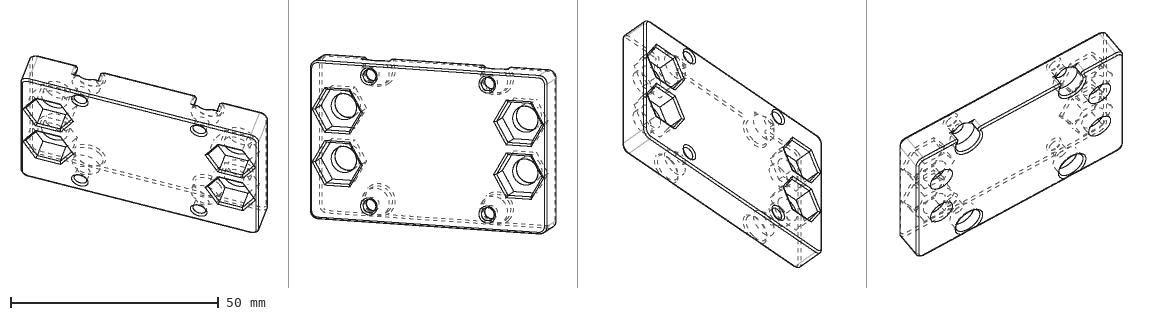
import math

import cadquery as cq

LENGTH = 60.0
THICKNESS = 8.0
HEIGHT = 39.0
CORNER_RADIUS = 2.0
CHAMFER = 0.5

FRONT_Y = -THICKNESS / 2
BACK_Y = THICKNESS / 2
TOP_Z = HEIGHT / 2

NUT_ACROSS_FLATS = 10.0
NUT_POCKET_DEPTH = 5.0
BOLT_DIAMETER = 6.4
NUT_X = LENGTH / 2 - 7.0
UPPER_NUT_Z = TOP_Z - 12.0
NUT_PITCH = 13.0
LOWER_NUT_Z = UPPER_NUT_Z - NUT_PITCH

SCREW_DIAMETER = 3.2
SCREW_X = 15.0
UPPER_SCREW_Z = TOP_Z - 3.0
SCREW_PITCH = 32.0
LOWER_SCREW_Z = UPPER_SCREW_Z - SCREW_PITCH
HEAD_DIAMETER = 7.0
HEAD_DEPTH = 3.0
HEAD_FLOOR_Y = BACK_Y - HEAD_DEPTH
BREAKOUT_RADIUS = 0.8


def face_plane(x, y, z):
    """Workplane at a point, facing +Y."""
    return cq.Workplane(cq.Plane(origin=(x, y, z), xDir=(1, 0, 0), normal=(0, 1, 0)))


def cylinder(x, y, z, diameter, length):
    return face_plane(x, y, z).circle(diameter / 2).extrude(length)


def cone(x, y, z, start_diameter, end_diameter, length):
    start = face_plane(x, y, z).circle(start_diameter / 2)
    return start.workplane(offset=length).circle(end_diameter / 2).loft()


def hexagon(across_flats):
    """Hexagon with two of its corners on the local X axis."""
    sides = 6
    corner_radius = across_flats / math.sqrt(3)
    return cq.Sketch().regularPolygon(corner_radius, sides, angle=180 / sides)


def head_recess(x, z):
    return cylinder(x, HEAD_FLOOR_Y, z, HEAD_DIAMETER, HEAD_DEPTH)


def plate_with_upper_recesses():
    """Rounded plate, open at the top into two head recesses, with chamfered face outlines."""
    body = cq.Workplane("XY").box(LENGTH, THICKNESS, HEIGHT)
    body = body.edges("|Y").fillet(CORNER_RADIUS)
    for x in (-SCREW_X, SCREW_X):
        body = body.cut(head_recess(x, UPPER_SCREW_Z))
        around_recess = cq.selectors.BoxSelector(
            (x - HEAD_DIAMETER, HEAD_FLOOR_Y, UPPER_SCREW_Z),
            (x + HEAD_DIAMETER, BACK_Y, TOP_Z + CHAMFER),
        )
        body = body.edges("|Y").edges(around_recess).fillet(BREAKOUT_RADIUS)
    return body.faces("<Y or >Y").chamfer(CHAMFER)


def nut_pocket(x, z):
    """Hexagonal pocket with a chamfered mouth, and its bolt hole."""
    start = face_plane(x, FRONT_Y, z)
    pocket = start.placeSketch(hexagon(NUT_ACROSS_FLATS)).extrude(NUT_POCKET_DEPTH)
    mouth_end = hexagon(NUT_ACROSS_FLATS).moved(cq.Location(cq.Vector(0, 0, CHAMFER)))
    mouth = start.placeSketch(hexagon(NUT_ACROSS_FLATS + 2 * CHAMFER), mouth_end).loft()
    hole = cylinder(x, FRONT_Y, z, BOLT_DIAMETER, THICKNESS)
    return pocket.union(mouth).union(hole)


def screw_hole(x, z):
    """Through hole, chamfered at the front and countersunk at the floor of the head recess."""
    sink_depth = (HEAD_DIAMETER - SCREW_DIAMETER) / 2
    hole = cylinder(x, FRONT_Y, z, SCREW_DIAMETER, THICKNESS - HEAD_DEPTH)
    mouth = cone(x, FRONT_Y, z, SCREW_DIAMETER + 2 * CHAMFER, SCREW_DIAMETER, CHAMFER)
    sink = cone(x, HEAD_FLOOR_Y - sink_depth, z, SCREW_DIAMETER, HEAD_DIAMETER, sink_depth)
    return hole.union(mouth).union(sink)


def lower_recess(x):
    """Closed head recess with a chamfered rim at the back face."""
    rim_y = BACK_Y - CHAMFER
    rim = cone(x, rim_y, LOWER_SCREW_Z, HEAD_DIAMETER, HEAD_DIAMETER + 2 * CHAMFER, CHAMFER)
    return head_recess(x, LOWER_SCREW_Z).union(rim)


part = plate_with_upper_recesses()
for side in (-1, 1):
    for nut_z in (UPPER_NUT_Z, LOWER_NUT_Z):
        part = part.cut(nut_pocket(side * NUT_X, nut_z))
    part = part.cut(lower_recess(side * SCREW_X))
    for screw_z in (UPPER_SCREW_Z, LOWER_SCREW_Z):
        part = part.cut(screw_hole(side * SCREW_X, screw_z))

result = part.solids()